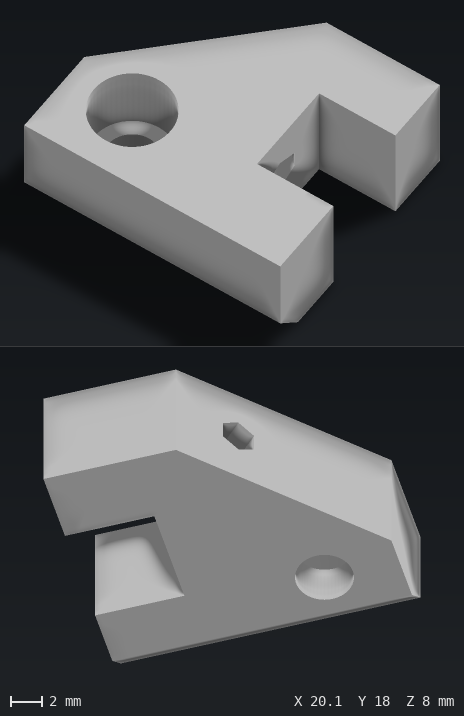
import cadquery as cq
import math

length = 20.12
width = 18.0
height = 8.0

left_side_width = 6.78
corner_cut = width - left_side_width
slot_depth = 6.0
slot_start = 6.0
slot_width = 7.0
bottom_chamfer = 2.0

hole_x = 5.0
hole_y = 4.99
hole_diameter = 3.8
counterbore_diameter = 6.0
counterbore_depth = 5.0

hex_corner_diameter = 2.65
hex_entry_y = 14.75
hex_entry_x = hex_entry_y - left_side_width
hex_half_flats = hex_corner_diameter / 2 * math.cos(math.radians(30))
slot_wall_x = length - slot_depth


def make_block():
    """Plate with a sloped corner, an open slot and a chamfered lower front edge."""
    slot_end = slot_start + slot_width
    block = (
        cq.Workplane("XY")
        .polyline([
            (0, 0),
            (length, 0),
            (length, slot_start),
            (slot_wall_x, slot_start),
            (slot_wall_x, slot_end),
            (length, slot_end),
            (length, width),
            (corner_cut, width),
            (0, left_side_width),
        ])
        .close()
        .extrude(height)
    )
    return block.faces("<Y").edges("<Z").chamfer(bottom_chamfer)


def drill_counterbored_hole(block):
    return (
        block.faces(">Z")
        .workplane(origin=(hole_x, hole_y, height))
        .cboreHole(hole_diameter, counterbore_diameter, counterbore_depth)
    )


def make_hex_passage():
    """Hexagonal prism square to the sloped face, with two corners pointing up and down."""
    passage_length = (slot_wall_x - hex_entry_x) * math.sqrt(2) + hex_half_flats
    entry_plane = cq.Plane(
        origin=(hex_entry_x, hex_entry_y, height / 2),
        xDir=(0, 0, 1),
        normal=(1, -1, 0),
    )
    return cq.Workplane(entry_plane).polygon(6, hex_corner_diameter).extrude(passage_length)


result = drill_counterbored_hole(make_block()).cut(make_hex_passage())